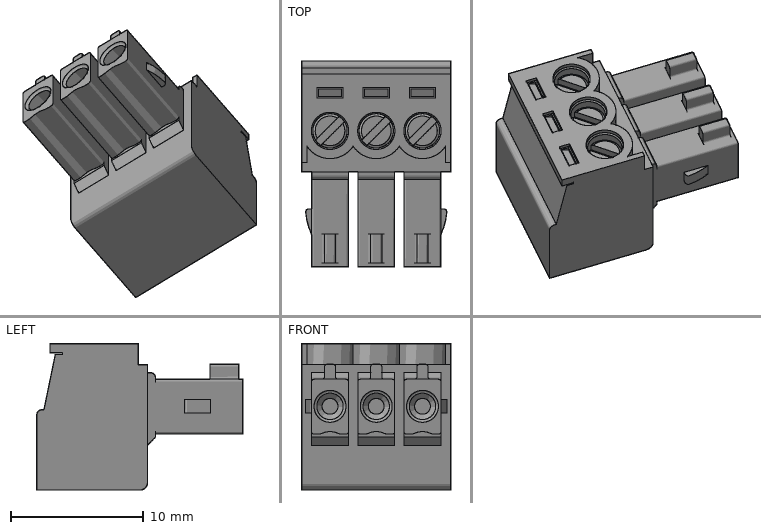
import cadquery as cq
import math


pole_count = 3
pitch = 3.5
body_width = 11.3
body_height = 11.1
body_depth = 8.4
plug_reach = 7.2
pole_positions = [(i - (pole_count - 1) / 2) * pitch for i in range(pole_count)]

bottom_front_radius = 0.6
back_step_height = 6.1
back_step_radius = 0.4
slope_foot_y = 7.86
slope_top_y = 7.0
lip_back_y = 7.4
lip_thickness = 0.7
undercut_gap = 0.12
undercut_depth_y = 6.45
step_height = 9.5
step_setback = 0.7

well_center_y = 3.1
well_wall_radius = 2.1
well_mouth_radius = 1.41
well_bore_radius = 1.3
ledge_top_depth = 0.3
ledge_bottom_depth = 0.4
screw_depth = 0.95
screw_face_radius = 1.12
screw_rim_drop = 0.1
slot_width = 0.57
slot_depth = 0.62
slot_angle = 45

window_length = 2.0
window_width = 0.82
window_center_y = 5.99
window_ledge_depth = 0.27
window_ledge_width = 0.12
window_floor_drop = 0.25

plug_width = 2.8
plug_bottom = 4.24
plug_top = 8.4
plug_edge_radius = 0.2
groove_half_width = 1.0
groove_rise = 0.2

collar_depth = 0.6
collar_top = 8.9
collar_bottom = 3.4
collar_top_radius = 0.4
collar_chamfer = 0.62

socket_center_z = 6.35
socket_radius = 1.0
socket_mouth_rounding = 0.21
socket_end_radius = 0.6
socket_straight_depth = 1.1
socket_cone_depth = 0.4

key_width = 0.84
key_top = 9.54
key_back_y = -4.7
key_front_y = -6.9
key_radius = 0.2
key_root_radius = 0.18

latch_back_y = -2.8
latch_front_y = -4.75
latch_height = 1.0
latch_proud = 0.45
latch_nose = 0.25
latch_bulge = 0.08

overlap = 0.2


def side_prism(profile, width):
    """Extrude a Y-Z profile symmetrically about X = 0."""
    return profile.close().extrude(width / 2, both=True)


def make_housing():
    lip_bottom = body_height - lip_thickness
    profile = (
        cq.Workplane("YZ")
        .moveTo(0, 0)
        .lineTo(body_depth, 0)
        .lineTo(body_depth, back_step_height - back_step_radius)
        .radiusArc((body_depth - back_step_radius, back_step_height), -back_step_radius)
        .lineTo(slope_foot_y, back_step_height)
        .lineTo(slope_top_y, lip_bottom - undercut_gap)
        .lineTo(undercut_depth_y, lip_bottom - undercut_gap)
        .lineTo(undercut_depth_y, lip_bottom)
        .lineTo(lip_back_y, lip_bottom)
        .lineTo(lip_back_y, body_height)
        .lineTo(0, body_height)
    )
    housing = side_prism(profile, body_width)
    return housing.edges("|X and <Y and <Z").fillet(bottom_front_radius)


def make_front_step():
    """Space cut from the front top edge, leaving the round well walls and end posts."""
    drop = body_height - step_height
    ledge = cq.Workplane("XY", origin=(0, 0, step_height))
    cusp_setback = well_center_y - math.sqrt(well_wall_radius**2 - (pitch / 2) ** 2)
    recess_width = pole_count * pitch
    step = ledge.rect(body_width, 2 * step_setback).extrude(drop)
    step = step.union(ledge.rect(recess_width, 2 * cusp_setback).extrude(drop))
    for x in pole_positions:
        wall = ledge.center(x, well_center_y).circle(well_wall_radius).extrude(drop)
        step = step.cut(wall)
    return step


def make_well(x):
    """Stepped round well with the slotted screw head as its floor."""
    well = (
        cq.Workplane("XZ")
        .moveTo(0, 0)
        .lineTo(well_mouth_radius, 0)
        .lineTo(well_mouth_radius, -ledge_top_depth)
        .lineTo(well_bore_radius, -ledge_bottom_depth)
        .lineTo(well_bore_radius, -screw_depth - screw_rim_drop)
        .lineTo(screw_face_radius, -screw_depth)
        .lineTo(0, -screw_depth)
        .close()
        .revolve(360, (0, 0, 0), (0, 1, 0))
    )
    slot_bottom = screw_depth + slot_depth
    bore = cq.Workplane("XY").circle(well_bore_radius).extrude(-slot_bottom)
    slot = (
        cq.Workplane("XY")
        .rect(2 * well_bore_radius, slot_width)
        .extrude(-slot_bottom)
        .rotate((0, 0, 0), (0, 0, 1), slot_angle)
        .intersect(bore)
    )
    return well.union(slot).translate((x, well_center_y, body_height))


def make_window(x):
    """Rectangular pocket with a narrow ledge around a floor that slopes down to the front."""
    half_floor = window_width / 2 - window_ledge_width
    floor_length = window_length - 2 * window_ledge_width
    opening = cq.Workplane("XY").rect(window_length, window_width).extrude(-window_ledge_depth)
    sloping_floor = side_prism(
        cq.Workplane("YZ")
        .moveTo(-half_floor, 0)
        .lineTo(half_floor, 0)
        .lineTo(half_floor, -window_ledge_depth)
        .lineTo(-half_floor, -window_ledge_depth - window_floor_drop),
        floor_length,
    )
    return opening.union(sloping_floor).translate((x, window_center_y, body_height))


def make_collar():
    profile = (
        cq.Workplane("YZ")
        .moveTo(overlap, collar_bottom)
        .lineTo(0, collar_bottom)
        .lineTo(-collar_depth, collar_bottom + collar_chamfer)
        .lineTo(-collar_depth, collar_top - collar_top_radius)
        .radiusArc((collar_top_radius - collar_depth, collar_top), collar_top_radius)
        .lineTo(overlap, collar_top)
    )
    return side_prism(profile, plug_width)


def make_shank():
    """Plug body with rounded long edges and a wavy groove along its underside."""
    half_width = plug_width / 2
    bend_x = groove_half_width / 2
    bend_z = plug_bottom + groove_rise / 2
    shank = (
        cq.Workplane("XZ", origin=(0, overlap, 0))
        .moveTo(-bend_x, bend_z)
        .threePointArc((0, plug_bottom + groove_rise), (bend_x, bend_z))
        .tangentArcPoint((groove_half_width, plug_bottom), relative=False)
        .lineTo(half_width, plug_bottom)
        .lineTo(half_width, plug_top)
        .lineTo(-half_width, plug_top)
        .lineTo(-half_width, plug_bottom)
        .lineTo(-groove_half_width, plug_bottom)
        .tangentArcPoint((-bend_x, bend_z), relative=False)
        .close()
        .extrude(plug_reach + overlap)
    )
    return shank.edges("|Y and (<X or >X)").fillet(plug_edge_radius)


def make_key():
    """Coding key with rounded top edges and flared roots along both sides."""
    half_width = key_width / 2
    foot = half_width + key_root_radius
    root_top = plug_top + key_root_radius
    key = (
        cq.Workplane("XZ", origin=(0, key_back_y, 0))
        .moveTo(-foot, plug_top - overlap)
        .lineTo(foot, plug_top - overlap)
        .lineTo(foot, plug_top)
        .radiusArc((half_width, root_top), key_root_radius)
        .lineTo(half_width, key_top)
        .lineTo(-half_width, key_top)
        .lineTo(-half_width, root_top)
        .radiusArc((-foot, plug_top), key_root_radius)
        .close()
        .extrude(key_back_y - key_front_y)
    )
    return key.edges("|Y and >Z").fillet(key_radius)


def make_socket():
    """Blind socket with a rounded mouth and a conical inner end."""
    mouth_radius = socket_radius + socket_mouth_rounding
    socket_depth = socket_straight_depth + socket_cone_depth
    return (
        cq.Workplane("XY")
        .moveTo(0, 0)
        .lineTo(mouth_radius, 0)
        .radiusArc((socket_radius, socket_mouth_rounding), -socket_mouth_rounding)
        .lineTo(socket_radius, socket_straight_depth)
        .lineTo(socket_end_radius, socket_depth)
        .lineTo(0, socket_depth)
        .close()
        .revolve(360, (0, 0, 0), (0, 1, 0))
        .translate((0, -plug_reach, socket_center_z))
    )


def make_plug():
    return make_collar().union(make_shank()).union(make_key()).cut(make_socket())


def make_latch():
    """Barb for the +X side of the last plug, tapering toward the plug tip."""
    root_x = pole_positions[-1] + plug_width / 2
    crest_x = root_x + latch_proud
    crest_y = latch_back_y - latch_nose
    middle = ((root_x + crest_x) / 2 + latch_bulge, (crest_y + latch_front_y) / 2)
    return (
        cq.Workplane("XY", origin=(0, 0, socket_center_z))
        .moveTo(root_x - overlap, latch_back_y)
        .lineTo(crest_x - latch_nose, latch_back_y)
        .radiusArc((crest_x, crest_y), latch_nose)
        .threePointArc(middle, (root_x, latch_front_y))
        .lineTo(root_x - overlap, latch_front_y)
        .close()
        .extrude(latch_height / 2, both=True)
    )


result = make_housing().cut(make_front_step())
plug = make_plug()
for pole_x in pole_positions:
    result = result.cut(make_well(pole_x)).cut(make_window(pole_x))
    result = result.union(plug.translate((pole_x, 0, 0)))

latch = make_latch()
result = result.union(latch).union(latch.mirror("YZ"))